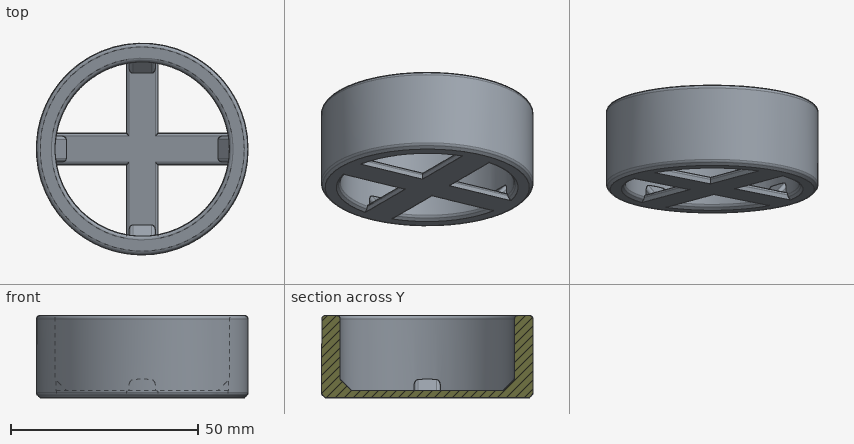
import cadquery as cq

outer_diameter = 56.5
inner_diameter = 46.5
height = 22.0
rim_radius = 1.0
bottom_chamfer = 1.0

cross_thickness = 2.0
cross_flat_width = 7.0
cross_edge_radius = 0.75
cross_width = cross_flat_width + 2 * cross_edge_radius

wedge_count = 4
wedge_width = cross_flat_width
wedge_leg = 3.0
wedge_edge_radius = 1.0

inner_radius = inner_diameter / 2
embed_radius = (inner_diameter + outer_diameter) / 4


def rotate_about_z(shape, angle):
    return shape.rotate((0, 0, 0), (0, 0, 1), angle)


def make_ring():
    """Ring with rounded top rims and chamfered bottom rims, the chamfers blended into the walls."""
    ring = cq.Workplane("XY").circle(outer_diameter / 2).circle(inner_radius).extrude(height)
    ring = ring.faces(">Z").edges().fillet(rim_radius)
    ring = ring.faces("<Z").edges().chamfer(bottom_chamfer)
    chamfer_tops = ring.edges("%CIRCLE").edges(
        cq.selectors.BoxSelector(
            (-outer_diameter, -outer_diameter, bottom_chamfer / 2),
            (outer_diameter, outer_diameter, bottom_chamfer * 3 / 2),
        )
    )
    return chamfer_tops.fillet(rim_radius)


def make_cross():
    """Two crossed bars with rounded top edges."""
    bar = (
        cq.Workplane("XY")
        .box(2 * embed_radius, cross_width, cross_thickness, centered=(True, True, False))
        .edges("|X and >Z")
        .fillet(cross_edge_radius)
    )
    return bar.union(rotate_about_z(bar, 90))


def make_wedge():
    """A wedge on the +X arm, rounded along both sides of its slope."""
    foot = inner_radius - wedge_leg
    rise = embed_radius - foot
    return (
        cq.Workplane("XZ")
        .moveTo(foot, cross_thickness)
        .lineTo(embed_radius, cross_thickness)
        .lineTo(embed_radius, cross_thickness + rise)
        .close()
        .extrude(wedge_width / 2, both=True)
        .edges("not(|X or |Y or |Z)")
        .fillet(wedge_edge_radius)
    )


part = make_ring().union(make_cross())
wedge = make_wedge()
for index in range(wedge_count):
    part = part.union(rotate_about_z(wedge, index * 360 / wedge_count))

result = cq.Workplane(part.solids().val())